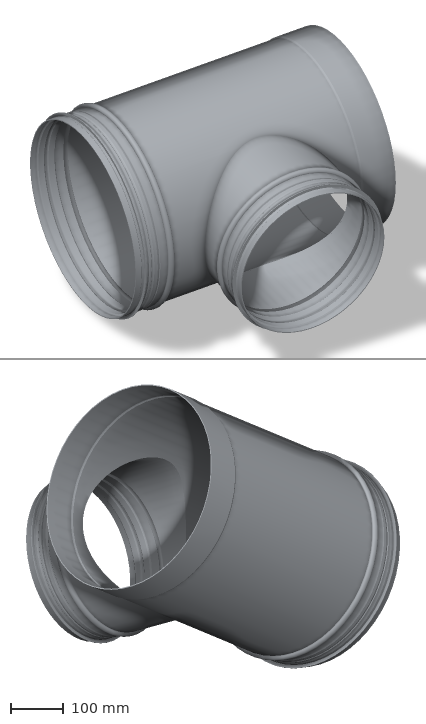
import cadquery as cq

WALL = 2.0
MAIN_RADIUS = 400.5 / 2
MAIN_LENGTH = 570.0
BRANCH_RADIUS = 316.0 / 2
BRANCH_Y = 309.5
BRANCH_END_X = 336.0

SOCKET_BORE_RADIUS = 400.5 / 2
SOCKET_LENGTH = 70.5
SOCKET_TAPER = 4.0

BEAD_HEIGHT = 7.0
BEAD_PLACE = 77.0
CHANNEL_DEPTH = 3.0
FLANK_RUN = 3.0
LIP_CHANNEL = (12.5, 31.0)
PLAIN_CHANNEL = (35.0, 53.5)

GAP_WIDTH = 5.5
GAP_DEPTH = CHANNEL_DEPTH / 2
RING_PROUD = 0.3
LIP_THICKNESS = 1.0
LIP_HEIGHT = BEAD_HEIGHT


def channel_points(surface_radius, channel):
    """Corners of one channel pressed into a sheet surface, as (radius, place)."""
    start, end = channel
    floor_radius = surface_radius - CHANNEL_DEPTH
    return [
        (surface_radius, start),
        (floor_radius, start + FLANK_RUN),
        (floor_radius, end - FLANK_RUN),
        (surface_radius, end),
    ]


def spigot_points(surface_radius):
    """Sheet surface from the open end past both channels."""
    return (
        [(surface_radius, 0)]
        + channel_points(surface_radius, LIP_CHANNEL)
        + channel_points(surface_radius, PLAIN_CHANNEL)
    )


def revolved_pipe(outer_radius, far_outside, far_inside):
    """Sheet pipe along +Y with a spigot at Y = 0.

    far_outside runs away from the spigot and far_inside runs back towards it.
    """
    inner_radius = outer_radius - WALL
    inner_bead = BEAD_HEIGHT - WALL
    profile = (
        cq.Workplane("XY")
        .polyline(spigot_points(outer_radius))
        .lineTo(outer_radius, BEAD_PLACE - BEAD_HEIGHT)
        .threePointArc(
            (outer_radius + BEAD_HEIGHT, BEAD_PLACE),
            (outer_radius, BEAD_PLACE + BEAD_HEIGHT),
        )
    )
    for radius, place in far_outside + far_inside:
        profile = profile.lineTo(radius, place)
    profile = profile.lineTo(inner_radius, BEAD_PLACE + inner_bead).threePointArc(
        (outer_radius + inner_bead, BEAD_PLACE),
        (inner_radius, BEAD_PLACE - inner_bead),
    )
    for radius, place in reversed(spigot_points(inner_radius)):
        profile = profile.lineTo(radius, place)
    return profile.close().revolve(360, (0, 0, 0), (0, 1, 0))


def sealing_ring(pipe_radius, channel, has_lip):
    """Ring seated on a channel's floor and lower flanks, then sloping in to its top."""
    start, end = channel
    floor_radius = pipe_radius - CHANNEL_DEPTH
    seat_radius = pipe_radius - GAP_DEPTH
    top_radius = pipe_radius + RING_PROUD
    lip_radius = pipe_radius + LIP_HEIGHT
    seat_run = FLANK_RUN * GAP_DEPTH / CHANNEL_DEPTH
    top_start = start + GAP_WIDTH
    top_end = end - GAP_WIDTH
    points = [
        (floor_radius, start + FLANK_RUN),
        (seat_radius, start + seat_run),
        (top_radius, top_start),
    ]
    if has_lip:
        points += [
            (lip_radius, top_start),
            (lip_radius, top_start + LIP_THICKNESS),
            (top_radius, top_start + LIP_THICKNESS),
        ]
    points += [
        (top_radius, top_end),
        (seat_radius, end - seat_run),
        (floor_radius, end - FLANK_RUN),
    ]
    return cq.Workplane("XY").polyline(points).close().revolve(360, (0, 0, 0), (0, 1, 0))


def place_on_branch(body):
    """Turn a body built along +Y so that its open end faces +X at the branch end."""
    turned = body.rotate((0, 0, 0), (0, 0, 1), 90)
    return turned.translate((BRANCH_END_X, BRANCH_Y, 0))


def make_main_pipe():
    bore_radius = MAIN_RADIUS - WALL
    socket_radius = SOCKET_BORE_RADIUS + WALL
    socket_start = MAIN_LENGTH - SOCKET_LENGTH
    taper_start = socket_start - SOCKET_TAPER
    pipe = revolved_pipe(
        MAIN_RADIUS,
        [(MAIN_RADIUS, taper_start), (socket_radius, socket_start), (socket_radius, MAIN_LENGTH)],
        [(SOCKET_BORE_RADIUS, MAIN_LENGTH), (SOCKET_BORE_RADIUS, socket_start), (bore_radius, taper_start)],
    )
    branch_opening = (
        cq.Workplane("YZ").center(BRANCH_Y, 0).circle(BRANCH_RADIUS - WALL).extrude(BRANCH_END_X)
    )
    return pipe.cut(branch_opening)


def make_branch_pipe():
    """Branch trimmed to sit on the outside of the main pipe."""
    pipe = place_on_branch(
        revolved_pipe(
            BRANCH_RADIUS,
            [(BRANCH_RADIUS, BRANCH_END_X)],
            [(BRANCH_RADIUS - WALL, BRANCH_END_X)],
        )
    )
    main_envelope = cq.Workplane("XZ").circle(MAIN_RADIUS).extrude(-MAIN_LENGTH)
    return pipe.cut(main_envelope)


main_pipe = make_main_pipe()
branch_pipe = make_branch_pipe()

sealing_rings = []
for ring_channel, ring_has_lip in ((LIP_CHANNEL, True), (PLAIN_CHANNEL, False)):
    sealing_rings.append(sealing_ring(MAIN_RADIUS, ring_channel, ring_has_lip))
    sealing_rings.append(place_on_branch(sealing_ring(BRANCH_RADIUS, ring_channel, ring_has_lip)))

result = cq.Compound.makeCompound(
    [main_pipe.val(), branch_pipe.val()] + [ring.val() for ring in sealing_rings]
)